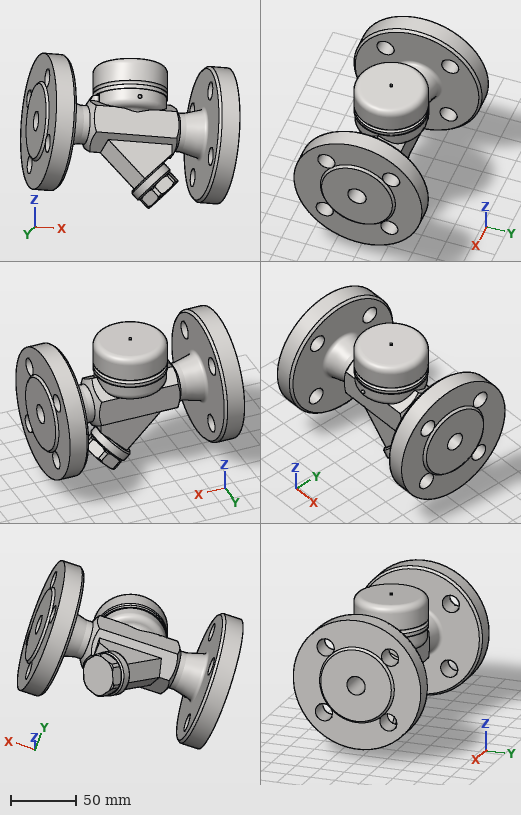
import cadquery as cq
import math

overall_length = 150.0
flange_diameter = 105.0
raised_face_diameter = 58.0
raised_face_base_diameter = 61.5
raised_face_height = 2.0
flange_inner_face_x = 56.7
flange_chamfer_length = 2.1
flange_chamfer_depth = 1.8
hub_root_diameter = 38.0
hub_fillet_radius = 3.0
neck_diameter = 29.8
neck_x = 40.8
bore_diameter = 15.0
bore_depth = 39.0
bolt_hole_diameter = 14.0
bolt_circle_diameter = 75.0
bolt_count = 4
bolt_start_angle = 43.5

block_flats = 37.0
block_end_x = 36.0
block_end_cone_angle = 58.0

lug_half_width = 5.1
lug_top_z = 22.6
lug_side_end_x = 30.0
lug_fillet_radius = 3.0

cap_diameter = 57.5
cap_top_z = 49.0
cap_fillet_radius = 5.4
cap_bottom_z = 30.0
groove_depth = 1.5
band_top_z = 27.0
band_bottom_z = 23.7
bowl_diameter = 56.0
bowl_bottom_z = 10.4
bowl_fillet_radius = 5.2
bowl_neck_radius = 18.0
bowl_neck_fillet_radius = 4.5
pip_diameter = 2.1
pip_height = 1.0
stud_diameter = 3.0
stud_z = 17.4
stud_tip_y = -30.0

branch_axis_offset = -17.5
branch_flats = 25.0
branch_end = 36.5
branch_right_x = 29.8
branch_top_z = -10.5

collar_diameter = 34.0
collar_length = 8.8
collar_chamfer = 1.2
hex_flats = 30.0
hex_corner_diameter = 33.0
hex_length = 9.5
hex_chamfer = 1.0

half_length = overall_length / 2
flange_radius = flange_diameter / 2
cap_radius = cap_diameter / 2
bowl_radius = bowl_diameter / 2
flange_outer_face_x = half_length - raised_face_height
cos_30 = math.cos(math.radians(30))
cos_45 = math.sqrt(0.5)


def slant_plane(distance):
    """Plane square to the branch axis, with local X up and to the right and local Z down the branch."""
    origin = (
        cos_45 * (distance + branch_axis_offset),
        0,
        cos_45 * (branch_axis_offset - distance),
    )
    return cq.Plane(origin=origin, xDir=(1, 0, 1), normal=(1, 0, -1))


def turned_end():
    """Flange, hub and neck at the +X end."""
    hub_slope = math.atan2((hub_root_diameter - neck_diameter) / 2, flange_inner_face_x - neck_x)
    hub_root_radius = hub_root_diameter / 2
    tangent = hub_fillet_radius * math.tan((math.pi / 2 - hub_slope) / 2)
    fillet_start = (
        flange_inner_face_x - tangent * math.cos(hub_slope),
        hub_root_radius - tangent * math.sin(hub_slope),
    )
    fillet_end = (flange_inner_face_x, hub_root_radius + tangent)
    profile = (
        cq.Workplane("XY")
        .moveTo(0, 0)
        .lineTo(0, neck_diameter / 2)
        .lineTo(neck_x, neck_diameter / 2)
        .lineTo(*fillet_start)
        .tangentArcPoint(fillet_end, relative=False)
        .lineTo(flange_inner_face_x, flange_radius - flange_chamfer_depth)
        .lineTo(flange_inner_face_x + flange_chamfer_length, flange_radius)
        .lineTo(flange_outer_face_x, flange_radius)
        .lineTo(flange_outer_face_x, raised_face_base_diameter / 2)
        .lineTo(half_length, raised_face_diameter / 2)
        .lineTo(half_length, 0)
        .close()
    )
    return profile.revolve(360, (0, 0, 0), (1, 0, 0))


def bolt_holes():
    """Bolt holes through the flange at the +X end."""
    return (
        cq.Workplane("YZ", origin=(flange_inner_face_x, 0, 0))
        .polarArray(bolt_circle_diameter / 2, bolt_start_angle, 360, bolt_count)
        .circle(bolt_hole_diameter / 2)
        .extrude(half_length - flange_inner_face_x)
    )


def bore():
    """Blind bore of the +X end."""
    return (
        cq.Workplane("YZ", origin=(half_length - bore_depth, 0, 0))
        .circle(bore_diameter / 2)
        .extrude(bore_depth)
    )


def block_with_lug():
    """Hexagonal bar with one corner up, and a lug on that corner; both ends are turned to a cone."""
    bar = (
        cq.Workplane("YZ", origin=(-block_end_x, 0, 0))
        .transformed(rotate=(0, 0, 90))
        .polygon(6, block_flats / cos_30)
        .extrude(2 * block_end_x)
    )
    flare_y = lug_half_width + lug_fillet_radius
    flare_x = lug_side_end_x - lug_fillet_radius
    half_lug = (
        cq.Workplane("XY")
        .moveTo(-block_end_x, 0)
        .lineTo(-block_end_x, lug_half_width)
        .lineTo(-lug_side_end_x, lug_half_width)
        .tangentArcPoint((-flare_x, flare_y), relative=False)
        .lineTo(0, flare_y)
        .lineTo(0, 0)
        .close()
        .extrude(lug_top_z)
    )
    lug = half_lug.union(half_lug.mirror("XZ"))

    cone_top_radius = math.hypot(lug_top_z, lug_half_width + lug_fillet_radius)
    cone_run = (cone_top_radius - neck_diameter / 2) / math.tan(math.radians(block_end_cone_angle))
    end_cones = (
        cq.Workplane("XY")
        .moveTo(-block_end_x, 0)
        .lineTo(-block_end_x, neck_diameter / 2)
        .lineTo(cone_run - block_end_x, cone_top_radius)
        .lineTo(block_end_x - cone_run, cone_top_radius)
        .lineTo(block_end_x, neck_diameter / 2)
        .lineTo(block_end_x, 0)
        .close()
        .revolve(360, (0, 0, 0), (1, 0, 0))
    )
    return bar.union(lug).intersect(end_cones)


def bowl_and_cap():
    """Round bowl, band, groove and cap, with a pip on top and a round stud on the front."""
    groove_middle = (cap_radius - groove_depth, (cap_bottom_z + band_top_z) / 2)
    turned = (
        cq.Workplane("XZ")
        .moveTo(0, 0)
        .lineTo(bowl_neck_radius, 0)
        .lineTo(bowl_neck_radius, bowl_bottom_z - bowl_neck_fillet_radius)
        .tangentArcPoint((bowl_neck_radius + bowl_neck_fillet_radius, bowl_bottom_z), relative=False)
        .lineTo(bowl_radius - bowl_fillet_radius, bowl_bottom_z)
        .tangentArcPoint((bowl_radius, bowl_bottom_z + bowl_fillet_radius), relative=False)
        .lineTo(bowl_radius, band_bottom_z)
        .lineTo(cap_radius, band_bottom_z)
        .lineTo(cap_radius, band_top_z)
        .threePointArc(groove_middle, (cap_radius, cap_bottom_z))
        .lineTo(cap_radius, cap_top_z - cap_fillet_radius)
        .radiusArc((cap_radius - cap_fillet_radius, cap_top_z), -cap_fillet_radius)
        .lineTo(0, cap_top_z)
        .close()
        .revolve(360, (0, 0, 0), (0, 1, 0))
    )
    pip = cq.Workplane("XY", origin=(0, 0, cap_top_z)).circle(pip_diameter / 2).extrude(pip_height)
    stud_radius = stud_diameter / 2
    stud = cq.Workplane("XY").sphere(stud_radius).translate((0, stud_tip_y + stud_radius, stud_z))
    return turned.union(pip).union(stud)


def branch():
    """Slanted branch: the lower half of a hexagon, carried up to the block as a flat-sided web."""
    corner_radius = branch_flats / 2 / cos_30
    half_width = branch_flats / 2
    web_reach = overall_length / 2
    section = [
        (-corner_radius, 0),
        (-corner_radius / 2, half_width),
        (web_reach, half_width),
        (web_reach, -half_width),
        (-corner_radius / 2, -half_width),
    ]
    bar = cq.Workplane(slant_plane(branch_end)).polyline(section).close().extrude(-overall_length)
    limits = (
        cq.Workplane("XY", origin=(0, 0, branch_top_z))
        .rect(2 * branch_right_x, branch_flats)
        .extrude(-overall_length)
    )
    return bar.intersect(limits)


def make_housing():
    end = turned_end()
    openings = bolt_holes().union(bore())
    housing = (
        block_with_lug()
        .union(end)
        .union(end.mirror("YZ"))
        .union(bowl_and_cap())
        .union(branch())
    )
    return housing.cut(openings).cut(openings.mirror("YZ"))


def make_plug():
    """Hexagon-headed strainer plug, seated on the end face of the branch."""
    collar = (
        cq.Workplane(slant_plane(branch_end))
        .circle(collar_diameter / 2)
        .extrude(collar_length)
        .edges()
        .chamfer(collar_chamfer)
    )
    head_plane = slant_plane(branch_end + collar_length)
    head_round = (
        cq.Workplane(head_plane)
        .circle(hex_corner_diameter / 2)
        .extrude(hex_length)
        .edges()
        .chamfer(hex_chamfer)
    )
    head = cq.Workplane(head_plane).polygon(6, hex_flats / cos_30).extrude(hex_length)
    return collar.union(head.intersect(head_round))


housing = make_housing()
plug = make_plug()
result = cq.Compound.makeCompound([housing.val(), plug.val()])